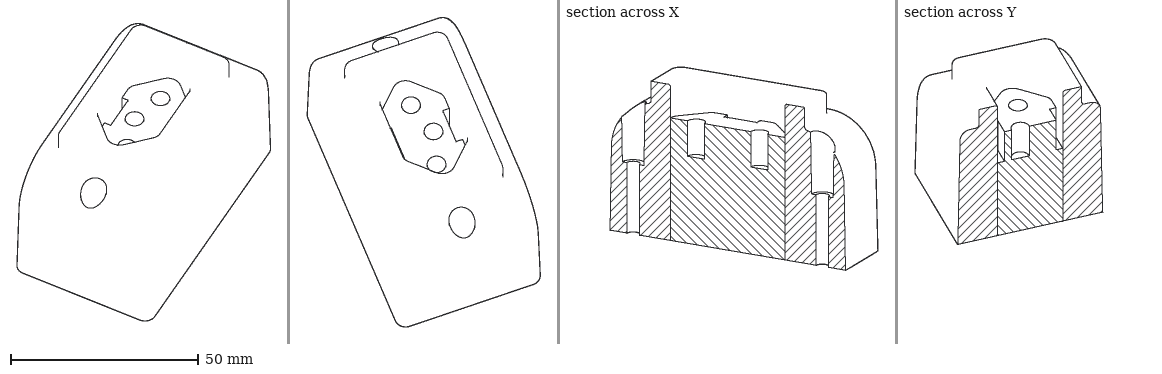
import cadquery as cq

DRAFT = 1.0

BASE_X = 41.25
BASE_Y = 71.25
SHOULDER_Z = 38.0
END_RADIUS = 14.4
SIDE_RADIUS = 3.0

FRAME_X = 29.2
FRAME_Y = 46.6
FRAME_TOP_Z = 44.0
FRAME_CORNER_RADIUS = 3.0
FRAME_FOOT_RADIUS = 0.85
FRAME_RIM_RADIUS = 0.35
FRAME_ROOT_DEPTH = 2.85

SCREW_OFFSET_Y = 28.6
SCREW_HOLE_DIAMETER = 3.7
SCREW_SEAT_DIAMETER = 6.4
SCREW_SEAT_Z = 19.95

OPENING_X = 18.4
OPENING_APEX_Y = 18.7
OPENING_SIDE_RADIUS = 3.0
OPENING_APEX_RADIUS = 3.55
OPENING_RIM_RADIUS = 0.85
SOCKET_DEPTH = 9.4

CORE_Z = FRAME_TOP_Z - SOCKET_DEPTH
PIN_DIAMETER = 5.0
PIN_OFFSET_Y = 9.55
EARTH_PIN_OFFSET_X = 2.8
PIN_DEPTH = 10.0
NOTCH_LENGTH = 10.0
NOTCH_WIDTH = 1.85
NOTCH_DEPTH = PIN_DEPTH

SELECTION_MARGIN = 0.1


def socket_prism(height):
    """Rounded six-sided prism with 45 degree sides, standing on z = 0."""
    half_x = OPENING_X / 2
    side_y = OPENING_APEX_Y - half_x
    outline = [
        (half_x, -side_y),
        (half_x, side_y),
        (0, OPENING_APEX_Y),
        (-half_x, side_y),
        (-half_x, -side_y),
        (0, -OPENING_APEX_Y),
    ]
    prism = cq.Workplane("XY").polyline(outline).close().extrude(height)
    prism = prism.edges("|Z and (<Y or >Y)").fillet(OPENING_APEX_RADIUS)
    side_corners = prism.faces("<X or >X").edges("|Z")
    return side_corners.fillet(OPENING_SIDE_RADIUS)


def outer_block():
    """Drafted block with large rounded ends and softly rounded long sides."""
    block = cq.Workplane("XY").rect(BASE_X, BASE_Y).extrude(SHOULDER_Z, taper=DRAFT)
    block = block.faces(">Z").edges("|X").fillet(END_RADIUS)
    side_edges = block.faces("<X or >X").edges("not <Z")
    return side_edges.fillet(SIDE_RADIUS)


def raised_frame():
    """Rounded rectangular frame that stands on the shoulder."""
    root_z = SHOULDER_Z - FRAME_ROOT_DEPTH
    frame = cq.Workplane("XY", origin=(0, 0, root_z)).rect(FRAME_X, FRAME_Y)
    frame = frame.extrude(FRAME_TOP_Z - root_z)
    return frame.edges("|Z").fillet(FRAME_CORNER_RADIUS)


def screw_recess(y):
    """Clearance hole through the box below a drafted recess for the screw head."""
    hole = cq.Workplane("XY", origin=(0, y, 0)).circle(SCREW_HOLE_DIAMETER / 2).extrude(SHOULDER_Z)
    seat = cq.Workplane("XY", origin=(0, y, SCREW_SEAT_Z)).circle(SCREW_SEAT_DIAMETER / 2)
    return hole.union(seat.extrude(SHOULDER_Z - SCREW_SEAT_Z, taper=-DRAFT))


def foot_edges():
    """Selector for the edges where the frame meets the shoulder and the rounded ends."""
    half_x = FRAME_X / 2 + SELECTION_MARGIN
    half_y = FRAME_Y / 2 + SELECTION_MARGIN
    lowest = (-half_x, -half_y, SHOULDER_Z - FRAME_ROOT_DEPTH)
    highest = (half_x, half_y, SHOULDER_Z + SELECTION_MARGIN)
    return cq.selectors.BoxSelector(lowest, highest, boundingbox=True)


def make_housing():
    """Outer box with its raised frame, socket opening and two screw recesses."""
    body = outer_block().union(raised_frame())
    body = body.edges(foot_edges()).fillet(FRAME_FOOT_RADIUS)
    body = body.faces(">Z").edges().fillet(FRAME_RIM_RADIUS)

    body = body.cut(socket_prism(FRAME_TOP_Z))
    opening_rim = body.faces(">Z").val().innerWires()[0]
    body = body.newObject(opening_rim.Edges()).fillet(OPENING_RIM_RADIUS)

    for y in (-SCREW_OFFSET_Y, SCREW_OFFSET_Y):
        body = body.cut(screw_recess(y))
    return body


def make_socket_core():
    """Plug that fills the opening, with three pin holes and a notch in each long side."""
    core = socket_prism(CORE_Z)
    pins = [(0, PIN_OFFSET_Y), (-EARTH_PIN_OFFSET_X, 0), (0, -PIN_OFFSET_Y)]
    face = core.faces(">Z").workplane(origin=(0, 0, CORE_Z))
    core = face.pushPoints(pins).hole(PIN_DIAMETER, PIN_DEPTH)

    notch_x = OPENING_X / 2 - NOTCH_WIDTH / 2
    for x in (-notch_x, notch_x):
        notch = cq.Workplane("XY").box(NOTCH_WIDTH, NOTCH_LENGTH, NOTCH_DEPTH)
        core = core.cut(notch.translate((x, 0, CORE_Z - NOTCH_DEPTH / 2)))
    return core


housing = make_housing()
socket_core = make_socket_core()
result = cq.Compound.makeCompound([housing.val(), socket_core.val()])